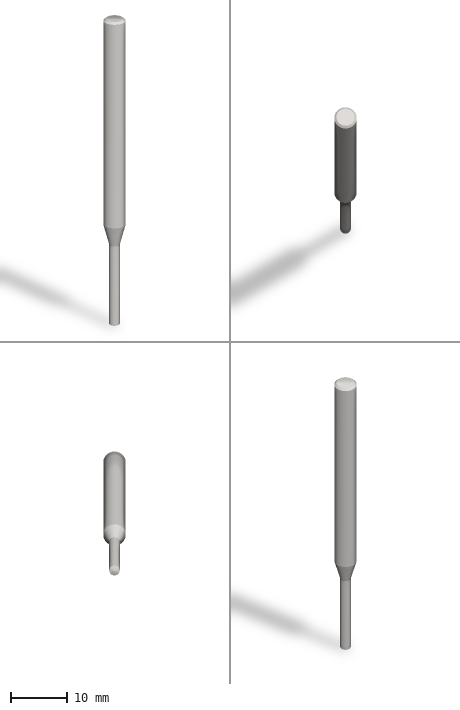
import cadquery as cq

total_length = 59.0
shank_diameter = 4.0
cutter_diameter = 1.9
neck_diameter = 1.9
end_chamfer = 0.385
shank_length = 39.55
taper_length = 3.9
neck_length = 1.8
point_height = 0.3

shank_radius = shank_diameter / 2
neck_radius = neck_diameter / 2
cutter_radius = cutter_diameter / 2
taper_top = total_length - shank_length
neck_top = taper_top - taper_length
cutter_top = neck_top - neck_length


def revolve_profile(points):
    """Revolve a closed (radius, height) outline about the Z axis."""
    return cq.Workplane("XZ").polyline(points).close().revolve(360, (0, 0, 0), (0, 1, 0))


def make_shank():
    """Chamfered shank that tapers down to a short neck."""
    return revolve_profile([
        (0, cutter_top),
        (neck_radius, cutter_top),
        (neck_radius, neck_top),
        (shank_radius, taper_top),
        (shank_radius, total_length - end_chamfer),
        (shank_radius - end_chamfer, total_length),
        (0, total_length),
    ])


def make_cutter():
    """Round cutting section that ends in a shallow conical point."""
    return revolve_profile([
        (0, 0),
        (cutter_radius, point_height),
        (cutter_radius, cutter_top),
        (0, cutter_top),
    ])


shank = make_shank()
cutter = make_cutter()

result = cq.Compound.makeCompound([shank.val(), cutter.val()])